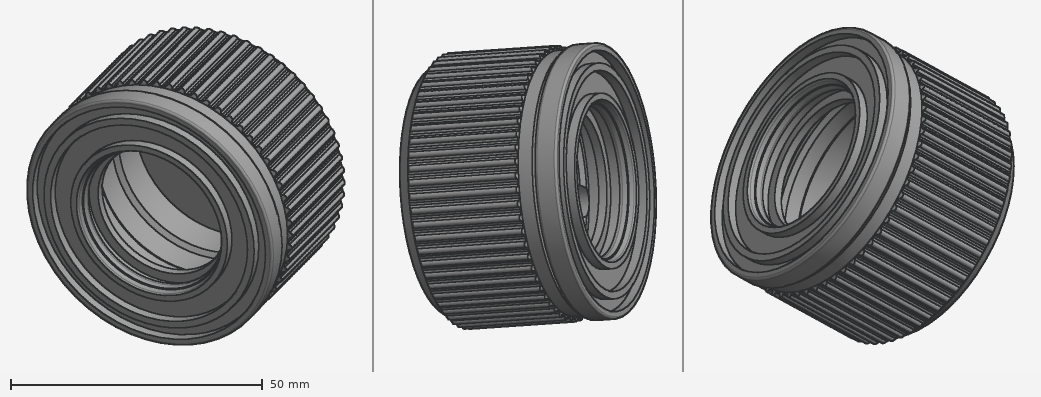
import cadquery as cq
import math

OVERALL_LENGTH = 34.5
OUTER_RADIUS = 27.5

FLANGE_THICKNESS = 4.7
FLANGE_EDGE_FILLET = 0.5
FACE_GROOVE_DEPTH = 2.0
OUTER_GROOVE_RADII = (23.5, 26.0)
INNER_GROOVE_RADII = (17.5, 22.0)
NECK_END = 5.5
NECK_RADIUS = 18.25
ENTRY_RADIUS = 16.2
ENTRY_CHAMFER_END = 0.45
ENTRY_CHAMFER_RADIUS = 15.95
BORE_STEP_START = 1.4
BORE_STEP_RADIUS = 15.6
BORE_STEP_SIZE = 0.15
SEAL_LIP_RADIUS = 15.2
SEAL_LIP_START = 2.6
SEAL_LIP_END = 3.15
UNDERCUT_RADIUS = 16.3

CAVITY_RADIUS = 20.35
CAVITY_CHAMFER = 1.0
CAVITY_CHAMFER_END = 24.35
CAVITY_END = 31.7
CAVITY_SPLIT = 17.15

RING_RADIUS = 26.55
RING_END = 8.45
MOUTH_RADIUS = 14.25
MOUTH_END = 7.25
RELIEF_RADIUS = 22.55
RELIEF_END = 12.55
SLEEVE_RADIUS = 23.9
SLEEVE_END_GAP = 0.2
NOTCH_RADIUS = 3.5
NOTCH_CENTER_X = 19.0

RIB_COUNT = 60
RIB_WIDTH = 1.3
GROOVE_FLOOR_RADIUS = 26.75
GROOVE_FLOOR_WIDTH = 0.5
RIB_FOOT_RADIUS = 26.95
GRIP_FRONT_CHAMFER = 0.35
GRIP_REAR_START = 31.45
TAPER_START = 32.0
TAPER_END_RADIUS = 24.9
REAR_EDGE_CHAMFER = 0.2


def turned(points):
    """Solid of revolution about Y from (radius, y) points."""
    return cq.Workplane("XY").polyline(points).close().revolve(360, (0, 0, 0), (0, 1, 0))


def tube(inner_radius, outer_radius, start, end):
    return turned([(inner_radius, start), (outer_radius, start), (outer_radius, end), (inner_radius, end)])


def make_flange():
    plate = cq.Workplane("XZ").circle(OUTER_RADIUS).extrude(-FLANGE_THICKNESS)
    plate = plate.edges().fillet(FLANGE_EDGE_FILLET)
    flare = NECK_END - FLANGE_THICKNESS
    flare_middle = flare * (1 - math.sqrt(0.5))
    neck = (
        cq.Workplane("XY")
        .moveTo(0, 0)
        .lineTo(NECK_RADIUS + flare, 0)
        .lineTo(NECK_RADIUS + flare, FLANGE_THICKNESS)
        .threePointArc(
            (NECK_RADIUS + flare_middle, FLANGE_THICKNESS + flare_middle),
            (NECK_RADIUS, NECK_END),
        )
        .lineTo(0, NECK_END)
        .close()
        .revolve(360, (0, 0, 0), (0, 1, 0))
    )
    bore = turned([
        (0, 0),
        (ENTRY_RADIUS, 0),
        (ENTRY_CHAMFER_RADIUS, ENTRY_CHAMFER_END),
        (BORE_STEP_RADIUS, BORE_STEP_START),
        (BORE_STEP_RADIUS - BORE_STEP_SIZE, BORE_STEP_START + BORE_STEP_SIZE),
        (SEAL_LIP_RADIUS, SEAL_LIP_START),
        (SEAL_LIP_RADIUS, SEAL_LIP_END),
        (UNDERCUT_RADIUS, SEAL_LIP_END),
        (UNDERCUT_RADIUS, NECK_END),
        (0, NECK_END),
    ])
    flange = plate.union(neck).cut(bore)
    for inner_radius, outer_radius in (OUTER_GROOVE_RADII, INNER_GROOVE_RADII):
        flange = flange.cut(tube(inner_radius, outer_radius, 0, FACE_GROOVE_DEPTH))
    return flange


def make_cup():
    sleeve_end = CAVITY_SPLIT - SLEEVE_END_GAP
    shell = turned([
        (MOUTH_RADIUS, NECK_END),
        (RING_RADIUS, NECK_END),
        (RING_RADIUS, RING_END),
        (SLEEVE_RADIUS, RING_END),
        (SLEEVE_RADIUS, sleeve_end),
        (CAVITY_RADIUS, sleeve_end),
        (CAVITY_RADIUS, RELIEF_END + CAVITY_CHAMFER),
        (CAVITY_RADIUS + CAVITY_CHAMFER, RELIEF_END),
        (RELIEF_RADIUS, RELIEF_END),
        (RELIEF_RADIUS, MOUTH_END),
        (MOUTH_RADIUS, MOUTH_END),
    ])
    notch = (
        cq.Workplane("XZ", origin=(0, MOUTH_END, 0))
        .center(NOTCH_CENTER_X, 0)
        .circle(NOTCH_RADIUS)
        .extrude(-(sleeve_end - MOUTH_END))
    )
    return shell.cut(notch)


def rib_outline():
    """Closed knurl outline: arched ribs with sloped flanks down to narrow groove floors."""
    pitch = 2 * math.pi / RIB_COUNT
    half_rib = RIB_WIDTH / 2 / OUTER_RADIUS
    half_floor = GROOVE_FLOOR_WIDTH / 2 / GROOVE_FLOOR_RADIUS

    def at(radius, angle):
        return radius * math.cos(angle), radius * math.sin(angle)

    outline = cq.Workplane("XZ").moveTo(*at(RIB_FOOT_RADIUS, -half_rib))
    for i in range(RIB_COUNT):
        crest = i * pitch
        floor = crest + pitch / 2
        outline = (
            outline.threePointArc(at(OUTER_RADIUS, crest), at(RIB_FOOT_RADIUS, crest + half_rib))
            .lineTo(*at(GROOVE_FLOOR_RADIUS, floor - half_floor))
            .lineTo(*at(GROOVE_FLOOR_RADIUS, floor + half_floor))
            .lineTo(*at(RIB_FOOT_RADIUS, crest + pitch - half_rib))
        )
    return outline.close()


def make_cap():
    knurled_bar = rib_outline().extrude(-OVERALL_LENGTH)
    envelope = turned([
        (0, RING_END),
        (RING_RADIUS, RING_END),
        (OUTER_RADIUS, RING_END + GRIP_FRONT_CHAMFER),
        (OUTER_RADIUS, GRIP_REAR_START),
        (RING_RADIUS, TAPER_START),
        (TAPER_END_RADIUS, OVERALL_LENGTH - REAR_EDGE_CHAMFER),
        (TAPER_END_RADIUS - REAR_EDGE_CHAMFER, OVERALL_LENGTH),
        (0, OVERALL_LENGTH),
    ])
    hollow = turned([
        (0, RING_END),
        (SLEEVE_RADIUS, RING_END),
        (SLEEVE_RADIUS, CAVITY_SPLIT),
        (CAVITY_RADIUS, CAVITY_SPLIT),
        (CAVITY_RADIUS, CAVITY_CHAMFER_END - CAVITY_CHAMFER),
        (CAVITY_RADIUS - CAVITY_CHAMFER, CAVITY_CHAMFER_END),
        (CAVITY_RADIUS - CAVITY_CHAMFER, CAVITY_END),
        (0, CAVITY_END),
    ])
    return knurled_bar.intersect(envelope).cut(hollow)


flange = make_flange()
cup = make_cup()
cap = make_cap()

result = cq.Compound.makeCompound([flange.val(), cup.val(), cap.val()])